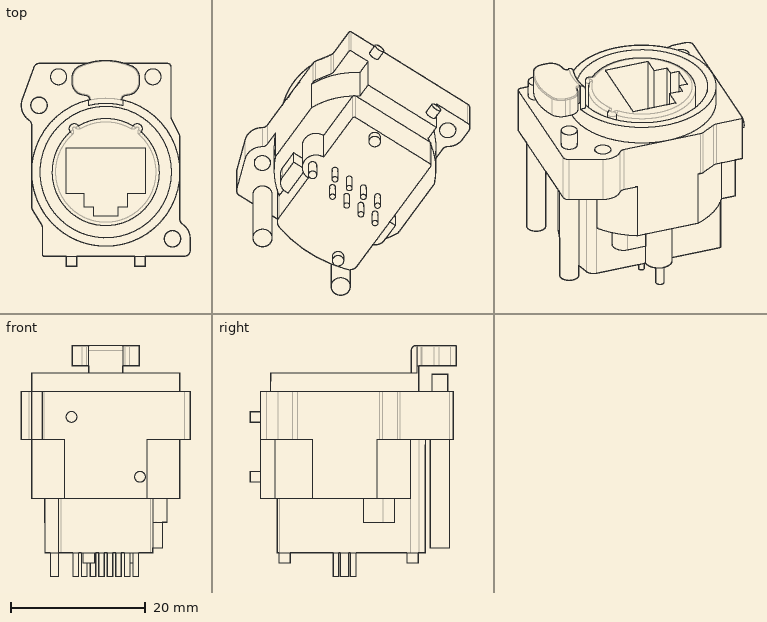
import cadquery as cq
import math

ring_top = 2.77
plate_bottom = -7.15
body_bottom = -15.9
housing_bottom = -23.95
post_bottom = -25.45
pin_bottom = -27.45
latch_top = 6.85
button_bottom = 3.8
rod_top = 2.58
rod_bottom = -23.25
groove_floor = -8.0
socket_floor = -12.0

plate_half_width = 11.0
plate_back = 16.15
plate_front = -12.5
back_right_x = 9.7
front_left_x = -9.4
notch_back_y = 8.0
notch_side_y = 5.4
screw_offset = 9.9
screw_hole_radius = 1.2
lobe_radius = 2.65
lobe_slant = 20.0
lobe_blend_angle = 55.7
edge_round = 0.9
back_right_round = 0.6
front_left_round = 0.25

ring_inner_radius = 9.75
insert_radius = 7.95
insert_edge_round = 0.5
key_angle = 36.0
key_bump_radius = 0.75
socket_half_width = 5.9
socket_back = 3.6
socket_shoulder = -3.15
step_half_width = 3.25
step_front = -5.2
tongue_half_width = 1.8
tongue_front = -6.5

body_radius = 12.0
body_flat_half_width = 6.12
housing_half_width = 7.0
housing_front = -10.0
housing_back_curve = 20.0
housing_back_round = 1.3
housing_front_round = 0.35
tab_reach = 9.12
tab_front = 2.77
tab_back = 7.4
tab_drop = 3.5
tab_round = 1.7
tube_x = -7.0
tube_radius = 2.03

contact_count = 8
contact_pitch = 1.27
contact_row_y = 1.27
contact_radius = 0.43
shield_pin_x = -7.6
shield_pin_radius = 0.62
post_radius = 0.85
post_places = [(-2.5, -8.9), (3.8, 10.1)]
peg_radius = 0.8
peg_end = -14.0
peg_places = [(-5.08, -3.77), (5.08, -12.65)]
rod_x = 7.0
rod_y = 14.13
rod_radius = 1.43
rod_tip_radius = 1.19

stem_half_width = 2.53
stem_inner_radius = 10.2
latch_bend_radius = 0.75
button_half_width = 5.0
button_back = 16.58
button_edge_round = 0.15
crown_radius = 9.3
crown_corner_round = 1.9
shoulder_y = 11.75
shoulder_round = 1.8
neck_y = 11.25
neck_half_width = 2.43
neck_round = 0.5


def prism(sketch_plane, bottom, top):
    """Extrude the pending wire of an XY workplane between two Z levels."""
    return sketch_plane.extrude(top - bottom).translate((0, 0, bottom))


def cylinder(x, y, radius, bottom, top):
    return prism(cq.Workplane("XY").center(x, y).circle(radius), bottom, top)


def block(x_min, x_max, y_min, y_max, bottom, top):
    size = (x_max - x_min, y_max - y_min, top - bottom)
    return cq.Workplane("XY").box(*size, centered=False).translate((x_min, y_min, bottom))


def rounded_outline(corners):
    """Closed outline through (x, y, radius) corners; a zero radius leaves a corner sharp."""
    arcs = []
    for i, (x, y, radius) in enumerate(corners):
        vertex = cq.Vector(x, y)
        before = (cq.Vector(*corners[i - 1][:2]) - vertex).normalized()
        after = (cq.Vector(*corners[(i + 1) % len(corners)][:2]) - vertex).normalized()
        half_angle = before.getAngle(after) / 2
        setback = radius / math.tan(half_angle)
        bisector = (before + after).normalized()
        middle = vertex + bisector * (radius / math.sin(half_angle) - radius)
        arcs.append((vertex + before * setback, middle, vertex + after * setback))
    outline = cq.Workplane("XY").moveTo(*arcs[0][2].toTuple()[:2])
    for (start, middle, end), corner in zip(arcs[1:] + arcs[:1], corners[1:] + corners[:1]):
        outline = outline.lineTo(start.x, start.y)
        if corner[2] > 0:
            outline = outline.threePointArc((middle.x, middle.y), (end.x, end.y))
    return outline.close()


def tangent_crossing(angle_a, offset_a, angle_b, offset_b):
    """Meeting point of two lines, each given by its normal angle and distance from the origin."""
    a, b = math.radians(angle_a), math.radians(angle_b)
    scale = math.sin(b - a)
    x = (offset_a * math.sin(b) - offset_b * math.sin(a)) / scale
    y = (offset_b * math.cos(a) - offset_a * math.cos(b)) / scale
    return x, y


def lobe_tangent(angle, center_x, center_y):
    """Offset from the origin of the lobe tangent whose outward normal has this angle."""
    a = math.radians(angle)
    return center_x * math.cos(a) + center_y * math.sin(a) + lobe_radius


def make_plate():
    slant = 180 - lobe_slant
    left_blend = 180 + lobe_blend_angle
    right_blend = lobe_blend_angle
    left_center = (-screw_offset, screw_offset)
    right_center = (screw_offset, -screw_offset)
    slant_offset = lobe_tangent(slant, *left_center)
    left_offset = lobe_tangent(left_blend, *left_center)
    right_offset = lobe_tangent(right_blend, *right_center)
    right_edge = screw_offset + lobe_radius

    corners = [
        (back_right_x, plate_back, back_right_round),
        (*tangent_crossing(90, plate_back, slant, slant_offset), edge_round),
        (*tangent_crossing(slant, slant_offset, left_blend, left_offset), lobe_radius),
        (*tangent_crossing(left_blend, left_offset, 180, plate_half_width), edge_round),
        (-plate_half_width, -notch_side_y, edge_round),
        (front_left_x, -notch_back_y, edge_round),
        (front_left_x, plate_front, front_left_round),
        (right_edge, plate_front, edge_round),
        (*tangent_crossing(0, right_edge, right_blend, right_offset), lobe_radius),
        (*tangent_crossing(right_blend, right_offset, 0, plate_half_width), edge_round),
        (plate_half_width, notch_side_y, edge_round),
        (back_right_x, notch_back_y, edge_round),
    ]
    return prism(rounded_outline(corners), plate_bottom, 0)


def make_body():
    """Round body with flat sides and a flat front pad, below the plate."""
    flats = block(-plate_half_width, plate_half_width, -body_radius, body_radius, body_bottom, plate_bottom)
    barrel = cylinder(0, 0, body_radius, body_bottom, plate_bottom).intersect(flats)
    pad = block(-body_flat_half_width, body_flat_half_width, plate_front, 0, body_bottom, plate_bottom)
    return barrel.union(pad)


def make_housing():
    """Rear housing with its side tabs and the tube around the shield pin."""
    corner_y = body_radius - housing_back_curve + math.sqrt(housing_back_curve**2 - housing_half_width**2)
    outline = (
        cq.Workplane("XY")
        .moveTo(-housing_half_width, housing_front)
        .lineTo(housing_half_width, housing_front)
        .lineTo(housing_half_width, corner_y)
        .threePointArc((0, body_radius), (-housing_half_width, corner_y))
        .close()
    )
    housing = prism(outline, housing_bottom, plate_bottom)
    housing = housing.edges("|Z").edges(">Y").fillet(housing_back_round)
    housing = housing.edges("|Z").edges("<Y").fillet(housing_front_round)
    front_clearance = block(
        -housing_half_width, housing_half_width, housing_front, 0, body_bottom, plate_bottom
    )
    housing = housing.cut(front_clearance)
    tabs = block(-tab_reach, tab_reach, tab_front, tab_back, body_bottom - tab_drop, body_bottom)
    tabs = tabs.edges("|Z and >Y").fillet(tab_round)
    tube = cylinder(tube_x, 0, tube_radius, housing_bottom, body_bottom)
    return housing.union(tabs).union(tube)


def make_insert():
    """Round insert with two key bumps, standing in the groove of the ring."""
    insert = cylinder(0, 0, insert_radius, groove_floor, ring_top)
    for side in (-1, 1):
        angle = math.radians(90 + side * key_angle)
        x = insert_radius * math.cos(angle)
        y = insert_radius * math.sin(angle)
        insert = insert.union(cylinder(x, y, key_bump_radius, groove_floor, ring_top))
    return insert.faces(">Z").edges().fillet(insert_edge_round)


def make_socket():
    """Stepped plug opening."""
    socket = block(-socket_half_width, socket_half_width, socket_shoulder, socket_back, socket_floor, ring_top)
    step = block(-step_half_width, step_half_width, step_front, socket_back, socket_floor, ring_top)
    tongue = block(-tongue_half_width, tongue_half_width, tongue_front, socket_back, socket_floor, ring_top)
    return socket.union(step).union(tongue)


def make_stem():
    """Upright strip of a ring, with its top front edge bent round towards the button."""
    slab = block(-stem_half_width, stem_half_width, 0, body_radius, 0, latch_top)
    stem = cylinder(0, 0, plate_half_width, 0, latch_top).intersect(slab)
    stem = stem.cut(cylinder(0, 0, stem_inner_radius, 0, latch_top))
    return stem.faces(">Z").edges("<Y").fillet(latch_bend_radius)


def make_button():
    """Latch button with a crowned back and a neck that ends on the outside of the stem."""
    corners = [
        (-neck_half_width, stem_inner_radius, 0),
        (neck_half_width, stem_inner_radius, 0),
        (neck_half_width, neck_y, neck_round),
        (button_half_width, shoulder_y, shoulder_round),
        (button_half_width, button_back, 0),
        (-button_half_width, button_back, 0),
        (-button_half_width, shoulder_y, shoulder_round),
        (-neck_half_width, neck_y, neck_round),
    ]
    button = prism(rounded_outline(corners), button_bottom, latch_top)
    button = button.intersect(cylinder(0, button_back - crown_radius, crown_radius, button_bottom, latch_top))
    button = button.edges("|Z and (<X or >X)").edges(">Y").fillet(crown_corner_round)
    button = button.cut(cylinder(0, 0, plate_half_width, button_bottom, latch_top))
    return button.faces(">Z").edges(">Y").fillet(button_edge_round)


def add_pins(part):
    first_x = -contact_pitch * (contact_count - 1) / 2
    for i in range(contact_count):
        row = -contact_row_y if i % 2 == 0 else contact_row_y
        x = first_x + i * contact_pitch
        part = part.union(cylinder(x, row, contact_radius, pin_bottom, housing_bottom))
    part = part.union(cylinder(shield_pin_x, 0, shield_pin_radius, pin_bottom, housing_bottom))
    for x, y in post_places:
        part = part.union(cylinder(x, y, post_radius, post_bottom, housing_bottom))
    for x, z in peg_places:
        peg = cq.Workplane("XZ").center(x, z).circle(peg_radius).extrude(plate_front - peg_end)
        part = part.union(peg.translate((0, plate_front, 0)))
    for side in (-1, 1):
        part = part.union(cylinder(side * rod_x, rod_y, rod_radius, rod_bottom, plate_bottom))
        part = part.union(cylinder(side * rod_x, rod_y, rod_tip_radius, 0, rod_top))
    return part


shell = make_plate().union(cylinder(0, 0, plate_half_width, plate_bottom, ring_top))
shell = shell.union(make_body()).union(make_housing())
shell = shell.cut(cylinder(0, 0, ring_inner_radius, groove_floor, ring_top))
shell = shell.union(make_insert()).cut(make_socket())
for side in (-1, 1):
    screw_hole = cylinder(side * screw_offset, -side * screw_offset, screw_hole_radius, plate_bottom, 0)
    shell = shell.cut(screw_hole)
result = add_pins(shell.union(make_stem()).union(make_button()))